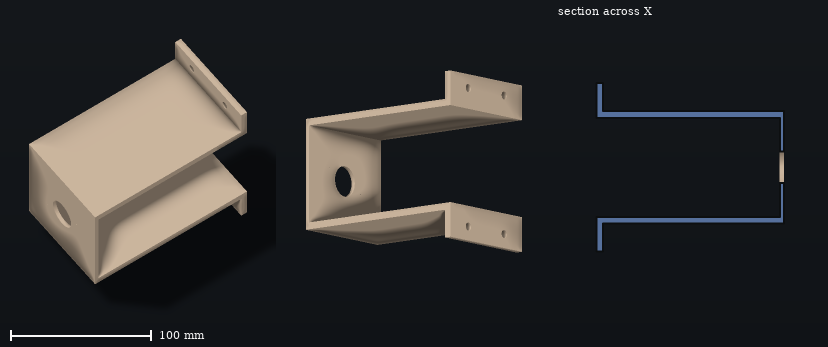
import cadquery as cq
import math

width = 80.0
depth = 133.3
box_height = 80.0
wall = 5.0
front_wall = 3.0

flange_height = 20.0
flange_thickness = 5.0
total_height = box_height + 2 * flange_height

screw_hole_diameter = 5.8
screw_spacing_x = 40.0
screw_spacing_z = box_height + flange_height

sensor_hole_diameter = 22.0
pilot_hole_diameter = 1.0
pilot_circle_radius = 18.85
pilot_angle = math.radians(22.5)
pilot_offset_x = pilot_circle_radius * math.cos(pilot_angle)
pilot_offset_z = pilot_circle_radius * math.sin(pilot_angle)

front_y = -depth / 2
rear_y = depth / 2


def box_between(y_start, y_end, height):
    """Full-width block centred on X and Z, spanning y_start to y_end."""
    length = y_end - y_start
    return cq.Workplane("XY").box(width, length, height).translate((0, y_start + length / 2, 0))


def holes_along_y(points, diameter, y_start, y_end):
    """Cylinders parallel to Y at the given (x, z) points."""
    return (
        cq.Workplane("XZ", origin=(0, y_start, 0))
        .pushPoints(points)
        .circle(diameter / 2)
        .extrude(-(y_end - y_start))
    )


def bracket_body():
    """U-shaped channel, open to the rear, with flanges above and below."""
    channel = box_between(front_y, rear_y, box_height)
    flanges = box_between(rear_y - flange_thickness, rear_y, total_height)
    cavity = box_between(front_y + front_wall, rear_y, box_height - 2 * wall)
    return channel.union(flanges).cut(cavity)


def screw_holes():
    """Four clearance holes through the flanges."""
    points = [
        (side_x * screw_spacing_x / 2, side_z * screw_spacing_z / 2)
        for side_x in (-1, 1)
        for side_z in (-1, 1)
    ]
    return holes_along_y(points, screw_hole_diameter, rear_y - flange_thickness, rear_y)


def sensor_hole():
    """Large round opening in the middle of the front wall."""
    return holes_along_y([(0, 0)], sensor_hole_diameter, front_y, front_y + front_wall)


def pilot_holes():
    """Two small holes on a slanted line through the large opening's centre."""
    points = [(side * pilot_offset_x, side * pilot_offset_z) for side in (-1, 1)]
    return holes_along_y(points, pilot_hole_diameter, front_y, front_y + front_wall)


result = bracket_body().cut(screw_holes()).cut(sensor_hole()).cut(pilot_holes())